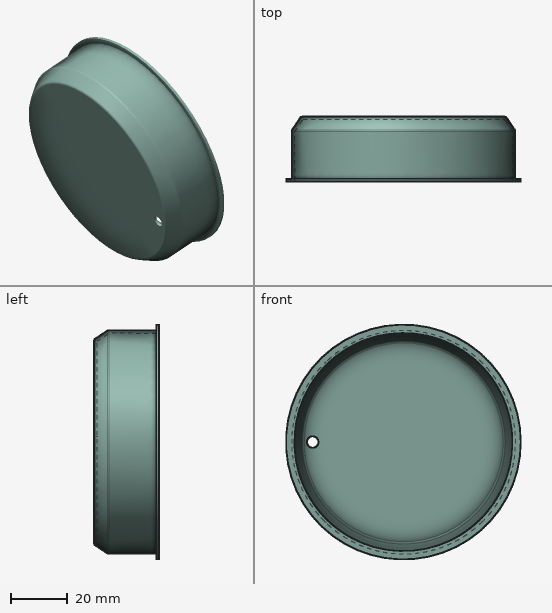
import cadquery as cq
import math

rim_radius = 41.5
total_depth = 23.0
rim_thickness = 1.0
wall = 1.0
body_radius = 39.5
taper_depth = 5.0
taper_inset = 3.3
edge_radius = 1.0

hole_diameter = 4.0
hole_offset = 32.0

inner_radius = body_radius - wall
floor_radius = body_radius - taper_inset
shoulder_start = total_depth - taper_depth
inner_floor = total_depth - wall

taper_angle = math.atan2(taper_inset, taper_depth)
inner_shoulder_start = shoulder_start - wall * math.tan(taper_angle / 2)
inner_floor_radius = floor_radius - wall * math.tan((math.pi / 2 - taper_angle) / 2)


def cup_solid(radius, end_radius, shoulder, end, rounding):
    """Cylinder from Y=0 with a conical shoulder, rounded at both ends of the cone."""
    profile = [(0, 0), (radius, 0), (radius, shoulder), (end_radius, end), (0, end)]
    body = cq.Workplane("XY").polyline(profile).close().revolve(360, (0, 0, 0), (0, 1, 0))
    cone_edges = body.faces("%CONE").edges("%CIRCLE")
    return cone_edges.fillet(rounding)


outer = cup_solid(body_radius, floor_radius, shoulder_start, total_depth, edge_radius)
cavity = cup_solid(inner_radius, inner_floor_radius, inner_shoulder_start, inner_floor, edge_radius)

rim = cq.Workplane("XZ").circle(rim_radius).extrude(-rim_thickness)
hole = cq.Workplane("XZ").center(-hole_offset, 0).circle(hole_diameter / 2).extrude(-total_depth)

result = outer.union(rim).cut(cavity).cut(hole)